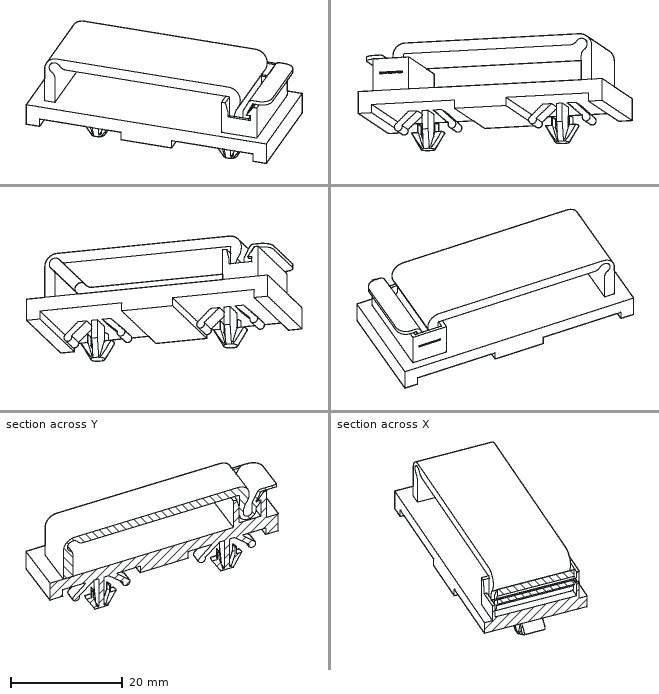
import cadquery as cq
import math


BASE_LENGTH = 45.5
BASE_WIDTH = 20.0
PLATE_THICKNESS = 2.5
FOOT_DEPTH = 1.5
END_FOOT_LENGTH = 2.55
MIDDLE_FOOT_LENGTH = 9.6
BASE_BOTTOM = -PLATE_THICKNESS

PIN_OFFSET = 12.5
PIN_WIDTH = 4.05
PIN_BOTTOM = -9.3
WEB_THICKNESS = 1.1
WEB_BEND_TOP = -5.85
WEB_BEND_HALF = 1.85
WEB_TIP_HALF = 1.2

BARB_TOP = -6.3
BARB_RADIUS = 3.0
BARB_TIP_RADIUS = 1.27
BARB_WIDTH = 2.1
BARB_GAP_HALF = 1.55
BARB_GAP_BOTTOM = -8.83
BARB_GAP_BOTTOM_HALF = 0.77
TAB_RADIUS = 1.9
TAB_TOP = -4.75

ARM_ROOT_INNER = 1.45
ARM_ROOT_OUTER = 3.1
ARM_SLOPE = 41.5
BEAD_RADIUS = 0.75
BEAD_X = 5.0
BEAD_Z = -5.3

BLOCK_LEFT = 13.75
BLOCK_LENGTH = 6.7
BLOCK_WIDTH = 16.93
BLOCK_HEIGHT = 6.15
BLOCK_WALL = 0.55
SLOT_LEFT = 14.95
SLOT_RIGHT = 19.2
SLOT_BOTTOM = 3.35
LEDGE_Z = 4.3
MOUTH_LEFT = 14.45
MOUTH_RIGHT = 19.75
THROAT_RIGHT = 18.45
CAVITY_FLOOR = 0.7
WINDOW_HEIGHT = 0.27

STRAP_WIDTH = 15.0
STRAP_TOP = 8.9
STRAP_THICKNESS = 1.95
STRAP_LEFT = -20.1
CORNER_RADIUS = 2.35
HINGE_RADIUS = 1.1
HINGE_BLEND = 1.35
INNER_FILLET = 0.25
STRAP_BOTTOM = STRAP_TOP - STRAP_THICKNESS
HINGE_X = STRAP_LEFT + STRAP_THICKNESS

CROWN_X = 14.7
CROWN_RADIUS = 2.28
HOOK_RADIUS = 3.35
HOOK_SWEEP = 40.0
U_THICKNESS = 0.85
U_INNER_RADIUS = 0.8
U_OUTER_RADIUS = U_INNER_RADIUS + U_THICKNESS
U_X = SLOT_LEFT + U_OUTER_RADIUS
U_Z = 2.45
CATCH_TIP_Z = 3.95
CATCH_END_ANGLE = 10.0
CATCH_NECK_X = 18.35
LEVER_BEND_Z = 4.45
LEVER_BEND_FILLET = 0.9
LEVER_TOP = 6.95
LEVER_THICKNESS = 0.7
LEVER_END = 22.4
LEVER_KNEE_X = 18.75
LEVER_UNDER_X = 19.3
LEVER_KNEE_FILLET = 0.9
LEVER_CORNER_RADIUS = 2.0


def extrude_across(sketch, width):
    """Extrude an XZ outline symmetrically about Y = 0."""
    return sketch.extrude(width / 2, both=True)


def box_between(x_range, y_range, z_range):
    """Box spanning the given (low, high) ranges."""
    size = [high - low for low, high in (x_range, y_range, z_range)]
    corner = (x_range[0], y_range[0], z_range[0])
    return cq.Workplane("XY").box(*size, centered=False).translate(corner)


def polar(center_x, center_z, radius, degrees):
    """Point of the XZ plane at an angle on a circle."""
    angle = math.radians(degrees)
    return (center_x + radius * math.cos(angle), center_z + radius * math.sin(angle))


def make_plate():
    plate = box_between(
        (-BASE_LENGTH / 2, BASE_LENGTH / 2),
        (-BASE_WIDTH / 2, BASE_WIDTH / 2),
        (BASE_BOTTOM - FOOT_DEPTH, 0),
    )
    recess_outer = BASE_LENGTH / 2 - END_FOOT_LENGTH
    recess_inner = MIDDLE_FOOT_LENGTH / 2
    recess_length = recess_outer - recess_inner
    recess_center = (recess_outer + recess_inner) / 2
    for side in (-1, 1):
        recess = cq.Workplane("XY").box(recess_length, BASE_WIDTH, FOOT_DEPTH)
        plate = plate.cut(recess.translate((side * recess_center, 0, BASE_BOTTOM - FOOT_DEPTH / 2)))
    return plate


def make_web():
    """Central fin of a pin, tapered across Y towards its tip."""
    half = [
        (PIN_WIDTH / 2, BASE_BOTTOM),
        (PIN_WIDTH / 2, WEB_BEND_TOP),
        (WEB_BEND_HALF, BARB_TOP),
        (WEB_TIP_HALF, PIN_BOTTOM),
    ]
    mirrored = [(-y, z) for y, z in reversed(half)]
    outline = cq.Workplane("YZ").polyline(half + mirrored).close()
    return outline.extrude(WEB_THICKNESS / 2, both=True)


def make_barbs():
    """Two conical barbs joined at the tip, with thin tabs standing on them."""
    cone_outline = [(0, PIN_BOTTOM), (BARB_TIP_RADIUS, PIN_BOTTOM), (BARB_RADIUS, BARB_TOP), (0, BARB_TOP)]
    cone = cq.Workplane("XZ").polyline(cone_outline).close().revolve(360, (0, 0), (0, 1))
    tab_cylinder = cq.Workplane("XY").workplane(offset=BARB_TOP).circle(TAB_RADIUS).extrude(TAB_TOP - BARB_TOP)
    strip = box_between(
        (-BARB_RADIUS, BARB_RADIUS), (-BARB_WIDTH / 2, BARB_WIDTH / 2), (PIN_BOTTOM, TAB_TOP)
    )
    gap_outline = [
        (-BARB_GAP_HALF, TAB_TOP),
        (-BARB_GAP_HALF, BARB_TOP),
        (-BARB_GAP_BOTTOM_HALF, BARB_GAP_BOTTOM),
        (BARB_GAP_BOTTOM_HALF, BARB_GAP_BOTTOM),
        (BARB_GAP_HALF, BARB_TOP),
        (BARB_GAP_HALF, TAB_TOP),
    ]
    gap = extrude_across(cq.Workplane("XZ").polyline(gap_outline).close(), PIN_WIDTH)
    return cone.union(tab_cylinder).intersect(strip).cut(gap)


def make_arm():
    """Sloping spring arm on the +X side of a pin, ending in a round bead."""
    tangent_point = polar(BEAD_X, BEAD_Z, BEAD_RADIUS, 90 - ARM_SLOPE)
    inner_run = (BASE_BOTTOM - BEAD_Z) / math.tan(math.radians(ARM_SLOPE))
    outline = [
        (ARM_ROOT_INNER, BASE_BOTTOM),
        (ARM_ROOT_OUTER, BASE_BOTTOM),
        tangent_point,
        (BEAD_X, BEAD_Z),
        (ARM_ROOT_INNER + inner_run, BEAD_Z),
    ]
    arm = extrude_across(cq.Workplane("XZ").polyline(outline).close(), PIN_WIDTH)
    bead = extrude_across(cq.Workplane("XZ").center(BEAD_X, BEAD_Z).circle(BEAD_RADIUS), PIN_WIDTH)
    return arm.union(bead)


def make_pin():
    arm = make_arm()
    return make_web().union(make_barbs()).union(arm).union(arm.mirror("YZ"))


def make_block():
    """Catch block, open at the -Y end and closed by a wall at the +Y end."""
    half_width = BLOCK_WIDTH / 2
    inner_half = half_width - BLOCK_WALL
    block = box_between((BLOCK_LEFT, BLOCK_LEFT + BLOCK_LENGTH), (-half_width, half_width), (0, BLOCK_HEIGHT))

    slot_outline = [
        (SLOT_LEFT, SLOT_BOTTOM),
        (SLOT_RIGHT, SLOT_BOTTOM),
        (SLOT_RIGHT, LEDGE_Z),
        (THROAT_RIGHT, LEDGE_Z),
        (MOUTH_RIGHT, BLOCK_HEIGHT),
        (MOUTH_LEFT, BLOCK_HEIGHT),
        (SLOT_LEFT, LEDGE_Z),
    ]
    slot = cq.Workplane("XZ", origin=(0, inner_half, 0)).polyline(slot_outline).close()
    slot = slot.extrude(inner_half + half_width)
    slot_span = (SLOT_LEFT, SLOT_RIGHT)
    cavity = box_between(slot_span, (-inner_half, inner_half), (CAVITY_FLOOR, LEDGE_Z))
    window = box_between(slot_span, (0, half_width), (SLOT_BOTTOM, SLOT_BOTTOM + WINDOW_HEIGHT))
    return block.cut(slot).cut(cavity).cut(window)


def make_base():
    base = make_plate().union(make_block())
    pin = make_pin()
    for side in (-1, 1):
        base = base.union(pin.translate((side * PIN_OFFSET, 0, 0)))
    return base


def edge_at(x, z):
    """Selector for the Y-direction edge that passes through (x, z)."""
    reach = 0.025
    return cq.selectors.BoxSelector(
        (x - reach, -STRAP_WIDTH, z - reach), (x + reach, STRAP_WIDTH, z + reach)
    )


def make_strap():
    """Post, top strap and spring hook as one profile, with a thinned hinge at the corner."""
    corner_z = STRAP_TOP - CORNER_RADIUS
    crown_z = STRAP_TOP - CROWN_RADIUS
    crown_right = CROWN_X + CROWN_RADIUS
    hook_x = crown_right - HOOK_RADIUS
    catch_end = polar(U_X, U_Z, U_OUTER_RADIUS, CATCH_END_ANGLE)
    u_right = U_X + U_INNER_RADIUS
    outline = (
        cq.Workplane("XZ")
        .moveTo(STRAP_LEFT, 0)
        .lineTo(STRAP_LEFT, corner_z)
        .threePointArc(
            polar(STRAP_LEFT + CORNER_RADIUS, corner_z, CORNER_RADIUS, 135),
            (STRAP_LEFT + CORNER_RADIUS, STRAP_TOP),
        )
        .lineTo(CROWN_X, STRAP_TOP)
        .threePointArc(
            polar(CROWN_X, crown_z, CROWN_RADIUS, 45),
            (crown_right, crown_z),
        )
        .threePointArc(
            polar(hook_x, crown_z, HOOK_RADIUS, -HOOK_SWEEP / 2),
            polar(hook_x, crown_z, HOOK_RADIUS, -HOOK_SWEEP),
        )
        .lineTo(U_X - U_INNER_RADIUS, SLOT_BOTTOM)
        .lineTo(U_X - U_INNER_RADIUS, U_Z)
        .threePointArc((U_X, U_Z - U_INNER_RADIUS), (u_right, U_Z))
        .lineTo(u_right, LEVER_BEND_Z)
        .lineTo(LEVER_KNEE_X, LEVER_TOP)
        .lineTo(LEVER_END, LEVER_TOP)
        .lineTo(LEVER_END, LEVER_TOP - LEVER_THICKNESS)
        .lineTo(LEVER_UNDER_X, LEVER_TOP - LEVER_THICKNESS)
        .lineTo(CATCH_NECK_X, LEDGE_Z)
        .lineTo(SLOT_RIGHT, LEDGE_Z)
        .lineTo(SLOT_RIGHT, CATCH_TIP_Z)
        .lineTo(*catch_end)
        .threePointArc((U_X, U_Z - U_OUTER_RADIUS), (SLOT_LEFT, U_Z))
        .lineTo(SLOT_LEFT, STRAP_BOTTOM)
        .lineTo(HINGE_X, STRAP_BOTTOM)
        .lineTo(HINGE_X, 0)
        .close()
    )
    strap = extrude_across(outline, STRAP_WIDTH)
    hinge = extrude_across(cq.Workplane("XZ").center(HINGE_X, STRAP_BOTTOM).circle(HINGE_RADIUS), STRAP_WIDTH)
    strap = strap.cut(hinge)
    strap = strap.edges(edge_at(HINGE_X, STRAP_BOTTOM - HINGE_RADIUS)).fillet(HINGE_BLEND)
    strap = strap.edges(edge_at(HINGE_X + HINGE_RADIUS, STRAP_BOTTOM)).fillet(HINGE_BLEND)
    strap = strap.edges(edge_at(SLOT_LEFT, STRAP_BOTTOM)).fillet(INNER_FILLET)
    strap = strap.edges(edge_at(u_right, LEVER_BEND_Z)).fillet(LEVER_BEND_FILLET)
    strap = strap.edges(edge_at(LEVER_KNEE_X, LEVER_TOP)).fillet(LEVER_KNEE_FILLET)
    return strap.faces(">X").edges("|Z").fillet(LEVER_CORNER_RADIUS)


base = make_base()
strap = make_strap()
result = cq.Compound.makeCompound([base.solids().val(), strap.solids().val()])